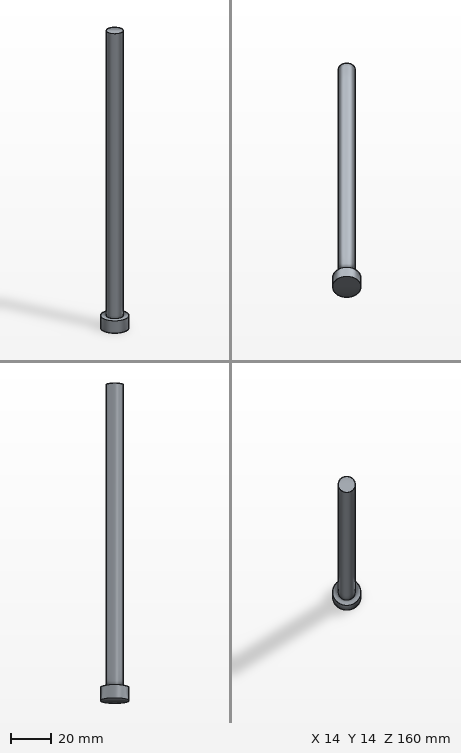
import cadquery as cq

total_length = 160.0
head_diameter = 14.0
head_height = 6.7
shank_diameter = 8.5

shank_length = total_length - head_height

head = cq.Workplane("XY").circle(head_diameter / 2).extrude(head_height)

result = head.faces(">Z").workplane().circle(shank_diameter / 2).extrude(shank_length)